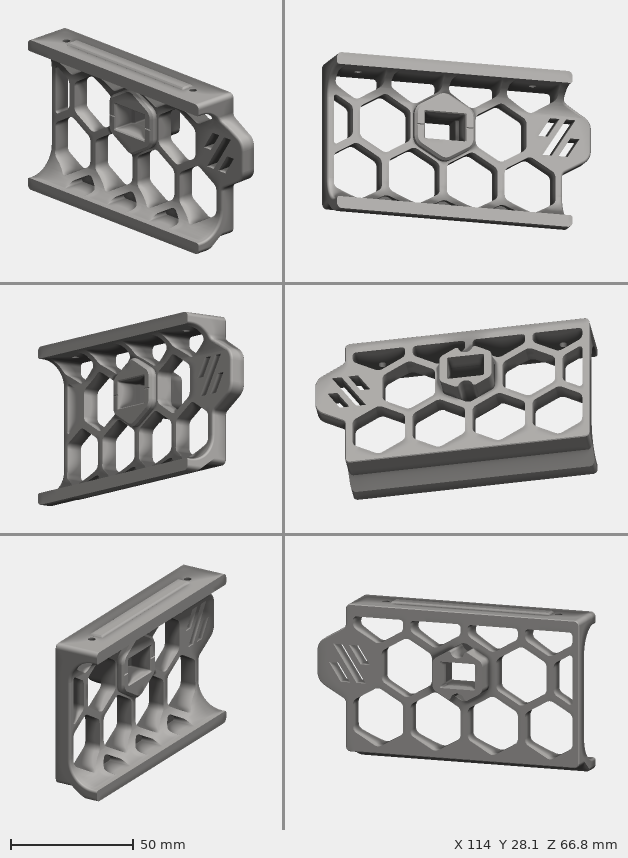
import cadquery as cq
import math


FRAME_LENGTH = 101.6
FRAME_DEPTH = 20.0
FRAME_HEIGHT = 66.0
PLATE_THICKNESS = 7.0
SLAB_THICKNESS = 5.0
OPENING_RADIUS = 11.0
CORNER_RADIUS = 2.0
OPENING_EDGE_RADIUS = 1.0
REAR_CHAMFER = 0.3

STEP_HEIGHT = 4.2
SLOPE_TOP_Y = -8.9
SLOPE_BOTTOM_Y = -14.7

CELL_PITCH = 25.0
CELL_APOTHEM = 11.0
CELL_RADIUS = 3.0
CELL_MARGIN = 2.8
TOP_CELL_RADIUS = 1.6
SHARP_CELL_RADIUS = 1.0
ROW_PITCH = CELL_PITCH * math.sqrt(3) / 2

TAB_APOTHEM = 14.0
TAB_RADIUS = 6.0
TAB_BLEND_RADIUS = 2.4
TAB_X = 114 - TAB_APOTHEM
MIDDLE_Z = 41.0

SLOT_WIDTH = 4.0
SLOT_RISE = 7.9
SLOT_LEAN = 0.645
SLOT_OFFSET_X = 4.3

PLUG_X = TAB_X - 2 * CELL_PITCH
FLANGE_APOTHEM = 13.0
FLANGE_RADIUS = 5.0
FLANGE_THICKNESS = 3.1
FLANGE_CHAMFER = 1.0
SHANK_APOTHEM = 10.8
PLUG_REAR_Y = 8.1
PLUG_FRONT_Y = -PLATE_THICKNESS - FLANGE_THICKNESS
SPLIT_CHAMFER = 0.3
NOTCH_RADIUS = 6.0 / 2
NOTCH_OFFSET = 10.4
NOTCH_LIP_RADIUS = 1.0

WINDOW_WIDTH = 17.5
WINDOW_HEIGHT = 11.3
WINDOW_REAR_WIDTH = 15.3
WINDOW_TAPER_Y = -0.7
WINDOW_TAPER_LENGTH = (WINDOW_WIDTH - WINDOW_REAR_WIDTH) / 2
WINDOW_REAR_HEIGHT = 11.1
WINDOW_RAMP_LENGTH = 0.7
WINDOW_CHAMFER = 0.5
WINDOW_CORNER_RADIUS = 0.6

RAIL_LENGTH = 69.2
RAIL_WIDTH = 6.2
RAIL_HEIGHT = 0.8
RAIL_Y = -9.9
HOLE_DIAMETER = 3.2
HOLE_SPACING = 75.2

SLAB_UNDERSIDE = FRAME_HEIGHT - SLAB_THICKNESS


def front_sketch(y):
    """Workplane parallel to XZ at the given Y; extruding goes towards -Y."""
    return cq.Workplane("XZ", origin=(0, y, 0))


def box_between(low, high):
    size = [b - a for a, b in zip(low, high)]
    return cq.Workplane("XY").box(*size, centered=False).translate(low)


def hexagon(x, z, apothem, rear_y, front_y):
    """Sharp hexagonal prism along Y with a corner pointing up."""
    points = []
    for i in range(6):
        angle = math.radians(30 + 60 * i)
        radius = apothem * 2 / math.sqrt(3)
        points.append((x + radius * math.cos(angle), z + radius * math.sin(angle)))
    return front_sketch(rear_y).polyline(points).close().extrude(rear_y - front_y)


def rounded_hexagon(x, z, apothem, corner_radius, rear_y, front_y):
    return hexagon(x, z, apothem, rear_y, front_y).edges("|Y").fillet(corner_radius)



def rounded_slab(bottom_z):
    """Full-depth block of the frame outline from the given underside up, without the tab."""
    block = box_between((0, -FRAME_DEPTH, bottom_z), (FRAME_LENGTH, 0, FRAME_HEIGHT))
    return block.edges("|Y").fillet(CORNER_RADIUS)


def frame_block():
    """Frame outline with the tab blended in and the rear edges chamfered."""
    tab = rounded_hexagon(TAB_X, MIDDLE_Z, TAB_APOTHEM, TAB_RADIUS, 0, -FRAME_DEPTH)
    block = rounded_slab(0).union(tab)
    joint = cq.selectors.BoxSelector(
        (FRAME_LENGTH - 0.1, -FRAME_DEPTH, MIDDLE_Z - 2 * TAB_APOTHEM),
        (FRAME_LENGTH + 0.1, 0, MIDDLE_Z + 2 * TAB_APOTHEM),
    )
    block = block.edges("|Y").edges(joint).fillet(TAB_BLEND_RADIUS)
    return block.faces(">Y").edges().chamfer(REAR_CHAMFER)


def underside_step():
    """Cutter below and behind the sloped face, leaving a rounded and chamfered raised underside."""
    slope_run = SLOPE_TOP_Y - SLOPE_BOTTOM_Y
    behind_slope = (
        cq.Workplane("YZ", origin=(-1.1, 0, 0))
        .polyline([
            (SLOPE_BOTTOM_Y - slope_run, -STEP_HEIGHT),
            (SLOPE_TOP_Y + slope_run, 2 * STEP_HEIGHT),
            (1.1, 2 * STEP_HEIGHT),
            (1.1, -STEP_HEIGHT),
        ])
        .close()
        .extrude(FRAME_LENGTH + 2.3)
    )
    raised = rounded_slab(STEP_HEIGHT).faces(">Y").edges().chamfer(REAR_CHAMFER)
    return behind_slope.cut(raised)


def hollow_front(block):
    """Cut the round-cornered channel along the front and round its side edges."""
    channel = box_between((-1.1, -2 * FRAME_DEPTH, SLAB_THICKNESS), (115.1, -PLATE_THICKNESS, SLAB_UNDERSIDE))
    channel = channel.edges("|X and >Y").fillet(OPENING_RADIUS)
    side_edges = cq.selectors.BoxSelector(
        (-1.1, -FRAME_DEPTH + 0.1, SLAB_THICKNESS - 0.1),
        (115.1, -PLATE_THICKNESS + 0.1, SLAB_UNDERSIDE + 0.1),
    )
    return block.cut(channel).edges(side_edges).edges("not |X").fillet(OPENING_EDGE_RADIUS)


def honeycomb_cell(x, z, rear_y, trimmed_side=None, trim_radius=None):
    """One cell, trimmed to the channel height and to the margin at the left end.

    The corners on the trimmed side, if one is named, get their own radius.
    """
    low = (CELL_MARGIN, -FRAME_DEPTH, SLAB_THICKNESS)
    high = (FRAME_LENGTH, rear_y, SLAB_UNDERSIDE)
    cell = hexagon(x, z, CELL_APOTHEM, rear_y, -FRAME_DEPTH).intersect(box_between(low, high))
    if trimmed_side is None:
        return cell.edges("|Y").fillet(CELL_RADIUS)
    cell = cell.edges(f"|Y and (not {trimmed_side})").fillet(CELL_RADIUS)
    return cell.edges("|Y").edges(trimmed_side).fillet(trim_radius)


def cut_honeycomb(frame):
    """Four rows of cells; the lowest row only reaches the front of the plate."""
    upper_z = MIDDLE_Z + ROW_PITCH
    lower_z = MIDDLE_Z - ROW_PITCH
    bottom_z = MIDDLE_Z - 2 * ROW_PITCH
    for i in range(4):
        x = PLUG_X + (i - 1.5) * CELL_PITCH
        frame = frame.cut(honeycomb_cell(x, upper_z, 0, ">Z", TOP_CELL_RADIUS))
        frame = frame.cut(honeycomb_cell(x, lower_z, 0))
    end_cell_x = PLUG_X - 2 * CELL_PITCH
    frame = frame.cut(honeycomb_cell(end_cell_x, MIDDLE_Z, 0, "<X", SHARP_CELL_RADIUS))
    for i in (-1, 0, 1):
        x = PLUG_X + i * CELL_PITCH
        frame = frame.cut(honeycomb_cell(x, MIDDLE_Z, 0))
        frame = frame.cut(honeycomb_cell(x, bottom_z, -PLATE_THICKNESS, "<Z", SHARP_CELL_RADIUS))
    return frame


def tab_slots():
    """Three slanted slots: a long one between two of half its height."""
    slots = cq.Workplane("XZ")
    for offset_x, offset_z, half_rise in (
        (-SLOT_OFFSET_X, SLOT_RISE / 2, SLOT_RISE / 2),
        (0, 0, SLOT_RISE),
        (SLOT_OFFSET_X, -SLOT_RISE / 2, SLOT_RISE / 2),
    ):
        x = TAB_X + offset_x
        z = MIDDLE_Z + offset_z
        shift = half_rise * SLOT_LEAN
        half = SLOT_WIDTH / 2
        slots = slots.polyline([
            (x - shift - half, z - half_rise),
            (x - shift + half, z - half_rise),
            (x + shift + half, z + half_rise),
            (x + shift - half, z + half_rise),
        ]).close()
    return slots.extrude(FRAME_DEPTH)


def top_rail():
    rail = box_between(
        (PLUG_X - RAIL_LENGTH / 2, RAIL_Y - RAIL_WIDTH / 2, FRAME_HEIGHT - 1.1),
        (PLUG_X + RAIL_LENGTH / 2, RAIL_Y + RAIL_WIDTH / 2, FRAME_HEIGHT + RAIL_HEIGHT),
    )
    return rail.faces(">Z").edges().chamfer(RAIL_HEIGHT - 0.01)


def top_holes():
    return (
        cq.Workplane("XY", origin=(PLUG_X, RAIL_Y, SLAB_UNDERSIDE - 1.1))
        .pushPoints([(-HOLE_SPACING / 2, 0), (HOLE_SPACING / 2, 0)])
        .circle(HOLE_DIAMETER / 2)
        .extrude(SLAB_THICKNESS + 2.3)
    )


def make_frame():
    frame = hollow_front(frame_block()).cut(underside_step())
    frame = cut_honeycomb(frame)
    recess = rounded_hexagon(
        PLUG_X, MIDDLE_Z, FLANGE_APOTHEM, FLANGE_RADIUS, -PLATE_THICKNESS, -FRAME_DEPTH
    )
    return frame.cut(recess).cut(tab_slots()).union(top_rail()).cut(top_holes())



def plug_shank():
    """Hexagonal shank filling the centre cell, grooved along its upper and lower corners."""
    shank = rounded_hexagon(PLUG_X, MIDDLE_Z, SHANK_APOTHEM, CELL_RADIUS, PLUG_REAR_Y, -PLATE_THICKNESS)
    for side in (-1, 1):
        notch = (
            front_sketch(PLUG_REAR_Y)
            .center(PLUG_X, MIDDLE_Z + side * NOTCH_OFFSET)
            .circle(NOTCH_RADIUS)
            .extrude(PLUG_REAR_Y + PLATE_THICKNESS)
        )
        shank = shank.cut(notch)
    lips = cq.selectors.BoxSelector(
        (PLUG_X - NOTCH_RADIUS - 0.1, PLUG_FRONT_Y, 0), (PLUG_X + NOTCH_RADIUS + 0.1, PLUG_REAR_Y, FRAME_HEIGHT)
    )
    return shank.edges("|Y").edges(lips).fillet(NOTCH_LIP_RADIUS)


def window_blend(rear_y, rear_size, front_y, front_size):
    """Passage through the plug between two round-cornered openings, given as width and height."""
    def opening(size):
        return cq.Sketch().rect(*size).vertices().fillet(WINDOW_CORNER_RADIUS)

    front_opening = opening(front_size).moved(cq.Location(cq.Vector(0, 0, rear_y - front_y)))
    section = cq.Workplane("XZ", origin=(PLUG_X, rear_y, MIDDLE_Z))
    return section.placeSketch(opening(rear_size), front_opening).loft()


def plug_window():
    """Passage that narrows in width, then slightly in height, and is flared at the front."""
    wide = (WINDOW_WIDTH, WINDOW_HEIGHT)
    narrow = (WINDOW_REAR_WIDTH, WINDOW_HEIGHT)
    rear = (WINDOW_REAR_WIDTH, WINDOW_REAR_HEIGHT)
    narrow_y = WINDOW_TAPER_Y + WINDOW_TAPER_LENGTH
    rear_y = narrow_y + WINDOW_RAMP_LENGTH
    flared = (WINDOW_WIDTH + 2 * WINDOW_CHAMFER, WINDOW_HEIGHT + 2 * WINDOW_CHAMFER)

    window = window_blend(PLUG_FRONT_Y + WINDOW_CHAMFER, wide, PLUG_FRONT_Y, flared)
    window = window.union(window_blend(WINDOW_TAPER_Y, wide, PLUG_FRONT_Y + WINDOW_CHAMFER, wide))
    window = window.union(window_blend(narrow_y, narrow, WINDOW_TAPER_Y, wide))
    window = window.union(window_blend(rear_y, rear, narrow_y, narrow))
    return window.union(window_blend(PLUG_REAR_Y, rear, rear_y, rear))


def make_plug_half(side):
    """Upper (side = 1) or lower (side = -1) half of the plug, split at mid height."""
    flange = rounded_hexagon(
        PLUG_X, MIDDLE_Z, FLANGE_APOTHEM, FLANGE_RADIUS, -PLATE_THICKNESS, PLUG_FRONT_Y
    )
    flange = flange.faces("<Y").edges().chamfer(FLANGE_CHAMFER)
    plug = flange.union(plug_shank()).cut(plug_window())
    reach = 2 * FLANGE_APOTHEM
    keep = box_between(
        (PLUG_X - reach, PLUG_FRONT_Y, min(MIDDLE_Z, MIDDLE_Z + side * reach)),
        (PLUG_X + reach, PLUG_REAR_Y, max(MIDDLE_Z, MIDDLE_Z + side * reach)),
    )
    half = plug.intersect(keep)
    split_edge = "<Z" if side > 0 else ">Z"
    return half.faces("<Y").edges("|X").edges(split_edge).chamfer(SPLIT_CHAMFER)


frame = make_frame()
plug_halves = [make_plug_half(side) for side in (1, -1)]

result = cq.Compound.makeCompound([frame.val(), *[half.val() for half in plug_halves]])